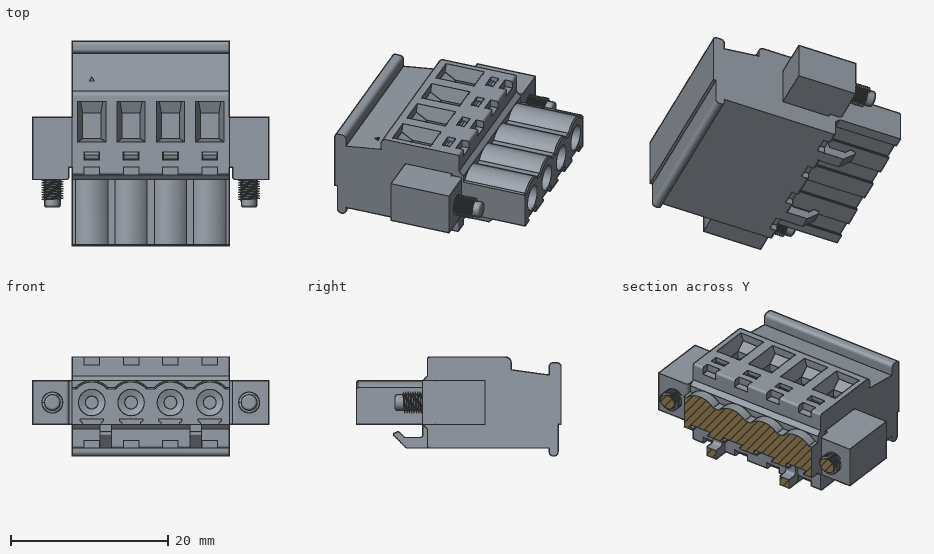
import cadquery as cq
import math


LENGTH = 30.0
POLES = 4
PITCH = LENGTH / (POLES + 2)
BODY_LENGTH = POLES * PITCH
POLE_XS = [(i - (POLES - 1) / 2) * PITCH for i in range(POLES)]
SIDES = (-1, 1)

BACK_Y = 26.0
COLLAR_Y = 8.43
COLLAR_STEP = 0.6
FRONT_Y = COLLAR_Y + COLLAR_STEP
CREST_BACK_Y = 19.68

TOP_Z = 12.6
FLOOR_Z = 1.02
PLUG_BOTTOM_Z = 4.02
PLUG_TOP_Z = 9.6
AXIS_Z = (PLUG_BOTTOM_Z + PLUG_TOP_Z) / 2

FRONT_EDGE_RADIUS = 0.3
CREST_RADIUS = 0.72
SLOPE_TOP_Z = 10.98
SLOPE_LOW_Z = 10.32

RAIL_DEPTH = 1.53
RAIL_FRONT_Y = BACK_Y - RAIL_DEPTH
RAIL_TOP_Z = 11.88
RAIL_RADIUS = 0.5
LOWER_RAIL_SETBACK = 0.35
LOWER_RAIL_RADIUS = 0.57

NOTCH_WIDTH = 1.98
NOTCH_DEPTH = 1.0
NOTCH_HEIGHT = 1.0

WELL_CENTRE_Y = 15.78
WELL_WIDTH = 3.57
WELL_LENGTH = 5.2
WELL_FLOOR_WIDTH = 2.3
WELL_TAPER_DEPTH = 1.77
WELL_BACK_WALL_DEPTH = 1.05
WELL_FRONT_INSET = 0.48
WELL_BACK_INSET = 1.5
WELL_DEPTH = 2.82

SLOT_WIDTH = 2.0
SLOT_FLOOR_WIDTH = 1.75
SLOT_FRONT_Y = 10.9
SLOT_LENGTH = 1.02
SLOT_BACK_DEPTH = 0.57
SLOT_RIDGE_DEPTH = 0.5
SLOT_FRONT_DEPTH = 0.72
SLOT_FRONT_INSET = 0.15
SLOT_RIDGE_INSET = 0.33

MARK_WIDTH = 0.57
MARK_BASE_Y = 20.97
MARK_LENGTH = 0.5
MARK_FLOOR_Z = 10.65

FLAT_Z = 8.7
LOBE_RADIUS = PLUG_TOP_Z - AXIS_Z
PLUG_BEVEL = 0.18
BORE_RADIUS = 1.68
BORE_DEPTH = 1.65
BORE_END_RADIUS = 0.8
BORE_CONE_DEPTH = 0.3

GROOVE_TOP_WIDTH = 2.97
GROOVE_MOUTH_WIDTH = 2.35
GROOVE_DEPTH = 0.7
GROOVE_LIP = 0.2

HOOK_WIDTH = 1.47
HOOK_INNER_X = PITCH
HOOK_SHELF_Z = 2.37
HOOK_SHELF_END_Y = 6.12
HOOK_HEEL_Y = 6.35
HOOK_LOW_TIP_Z = 2.82
HOOK_HIGH_TIP_Z = 3.15
HOOK_ROOT_RADIUS = 0.35
HOOK_TIP_RADIUS = 0.18

FLANGE_BACK_Y = 16.35
FLANGE_GAP = 0.4
FLANGE_GAP_END_Y = 10.0
FLANGE_RADIUS = 0.35

SCREW_X = (LENGTH - PITCH) / 2
SCREW_RADIUS = PITCH / 5
SCREW_TIP_Y = 4.92
SCREW_TIP_ROUND = 0.3
THREAD_RADIUS = 1.32
THREAD_PITCH = 0.3
THREAD_BASE = 0.18
THREAD_END_Y = 5.9
THREAD_EMBED = 0.1


def block(x, y, z):
    """Box given by its (low, high) limits along X, Y and Z."""
    return cq.Workplane("XY").box(
        x[1] - x[0], y[1] - y[0], z[1] - z[0], centered=False
    ).translate((x[0], y[0], z[0]))


def centred(middle, width):
    return (middle - width / 2, middle + width / 2)


def prism_along_x(points, middle_x, width):
    """Closed (Y, Z) outline extruded along X about middle_x."""
    outline = cq.Workplane("YZ", origin=(middle_x, 0, 0)).polyline(points).close()
    return outline.extrude(width / 2, both=True)


def make_housing():
    outline = [
        (RAIL_FRONT_Y, FLOOR_Z),
        (FRONT_Y, FLOOR_Z),
        (FRONT_Y, PLUG_BOTTOM_Z - COLLAR_STEP),
        (COLLAR_Y, PLUG_BOTTOM_Z),
        (COLLAR_Y, PLUG_TOP_Z),
        (FRONT_Y, PLUG_TOP_Z + COLLAR_STEP),
        (FRONT_Y, TOP_Z),
        (CREST_BACK_Y, TOP_Z),
        (CREST_BACK_Y, SLOPE_TOP_Z),
        (RAIL_FRONT_Y, SLOPE_LOW_Z),
    ]
    housing = prism_along_x(outline, 0, BODY_LENGTH)
    housing = housing.faces(">Z").edges("<Y").fillet(FRONT_EDGE_RADIUS)
    housing = housing.faces(">Z").edges(">Y").fillet(CREST_RADIUS)
    return housing.faces("<Z").edges("<Y").fillet(FRONT_EDGE_RADIUS)


def make_rail():
    span = centred(0, BODY_LENGTH)
    upper = block(span, (RAIL_FRONT_Y, BACK_Y), (PLUG_BOTTOM_Z, RAIL_TOP_Z))
    upper = upper.faces(">Z").edges("|X").fillet(RAIL_RADIUS)
    lower = block(span, (RAIL_FRONT_Y, BACK_Y - LOWER_RAIL_SETBACK), (0, PLUG_BOTTOM_Z))
    lower = lower.faces("<Z").edges("|X").fillet(LOWER_RAIL_RADIUS)
    return upper.union(lower)


def make_notches(x):
    span = centred(x, NOTCH_WIDTH)
    depth = (COLLAR_Y, FRONT_Y + NOTCH_DEPTH)
    upper = block(span, depth, (TOP_Z - NOTCH_HEIGHT, TOP_Z))
    lower = block(span, depth, (FLOOR_Z, FLOOR_Z + NOTCH_HEIGHT))
    return upper.union(lower)


def make_funnel(x, front_y, length, width, floor_width, taper_depth, floor_outline):
    """Pocket in the top with inclined sides; floor_outline is (Y, Z) from back to front."""
    back_y = front_y + length
    taper_z = TOP_Z - taper_depth
    across = (
        cq.Workplane("XZ", origin=(x, back_y, 0))
        .polyline([
            (-width / 2, TOP_Z),
            (width / 2, TOP_Z),
            (floor_width / 2, taper_z),
            (-floor_width / 2, taper_z),
        ])
        .close()
        .extrude(length)
    )
    along = prism_along_x([(front_y, TOP_Z), (back_y, TOP_Z)] + floor_outline, x, width)
    return across.intersect(along)


def make_well(x):
    """Funnel with a part-upright back wall, over a straight pit."""
    front_y, back_y = centred(WELL_CENTRE_Y, WELL_LENGTH)
    taper_z = TOP_Z - WELL_TAPER_DEPTH
    floor_y = (front_y + WELL_FRONT_INSET, back_y - WELL_BACK_INSET)
    floor_outline = [
        (back_y, TOP_Z - WELL_BACK_WALL_DEPTH),
        (floor_y[1], taper_z),
        (floor_y[0], taper_z),
    ]
    funnel = make_funnel(
        x, front_y, WELL_LENGTH, WELL_WIDTH, WELL_FLOOR_WIDTH, WELL_TAPER_DEPTH, floor_outline
    )
    pit = block(centred(x, WELL_FLOOR_WIDTH), floor_y, (TOP_Z - WELL_DEPTH, taper_z))
    return funnel.union(pit)


def make_test_slot(x):
    """Funnel whose floor is a low ridge running along X."""
    back_y = SLOT_FRONT_Y + SLOT_LENGTH
    floor_outline = [
        (back_y, TOP_Z - SLOT_BACK_DEPTH),
        (back_y - SLOT_RIDGE_INSET, TOP_Z - SLOT_RIDGE_DEPTH),
        (SLOT_FRONT_Y + SLOT_FRONT_INSET, TOP_Z - SLOT_FRONT_DEPTH),
    ]
    return make_funnel(
        x, SLOT_FRONT_Y, SLOT_LENGTH, SLOT_WIDTH, SLOT_FLOOR_WIDTH, SLOT_FRONT_DEPTH, floor_outline
    )


def make_pole_mark(x):
    corners = [
        (x - MARK_WIDTH / 2, MARK_BASE_Y),
        (x + MARK_WIDTH / 2, MARK_BASE_Y),
        (x, MARK_BASE_Y + MARK_LENGTH),
    ]
    outline = cq.Workplane("XY", origin=(0, 0, MARK_FLOOR_Z)).polyline(corners).close()
    return outline.extrude(TOP_Z - MARK_FLOOR_Z)


def plug_section(workplane, inset):
    """Cross-section of the plug, with its upper outline drawn in by inset."""
    flat_z = FLAT_Z - inset
    lobe_radius = LOBE_RADIUS - inset
    lobe_half_width = math.sqrt(lobe_radius**2 - (flat_z - AXIS_Z) ** 2)
    section = workplane.moveTo(-BODY_LENGTH / 2, PLUG_BOTTOM_Z)
    section = section.lineTo(-BODY_LENGTH / 2, flat_z)
    for x in POLE_XS:
        section = section.lineTo(x - lobe_half_width, flat_z)
        section = section.threePointArc((x, AXIS_Z + lobe_radius), (x + lobe_half_width, flat_z))
    section = section.lineTo(BODY_LENGTH / 2, flat_z)
    section = section.lineTo(BODY_LENGTH / 2, PLUG_BOTTOM_Z)
    return section.close()


def make_plug():
    """Lobed block whose upper front edge is bevelled at 45 degrees."""
    bevel_plane = cq.Workplane("XZ", origin=(0, PLUG_BEVEL, 0))
    main = plug_section(bevel_plane, 0).extrude(PLUG_BEVEL - COLLAR_Y)
    front_plane = plug_section(bevel_plane, 0).workplane(offset=PLUG_BEVEL)
    bevel = plug_section(front_plane, PLUG_BEVEL).loft(ruled=True)
    return main.union(bevel)


def make_bore(x):
    """Contact bore with a conical, flat-ended bottom."""
    end_depth = BORE_DEPTH + BORE_CONE_DEPTH
    half_section = [
        (0, 0),
        (BORE_RADIUS, 0),
        (BORE_RADIUS, BORE_DEPTH),
        (BORE_END_RADIUS, end_depth),
        (0, end_depth),
    ]
    profile = cq.Workplane("XY", origin=(x, 0, AXIS_Z)).polyline(half_section).close()
    return profile.revolve(360, (0, 0, 0), (0, 1, 0))


def make_groove(x):
    top_z = PLUG_BOTTOM_Z + GROOVE_DEPTH
    right = [
        (GROOVE_TOP_WIDTH / 2, top_z),
        (GROOVE_TOP_WIDTH / 2, top_z - GROOVE_LIP),
        (GROOVE_MOUTH_WIDTH / 2, PLUG_BOTTOM_Z + GROOVE_LIP),
        (GROOVE_MOUTH_WIDTH / 2, PLUG_BOTTOM_Z),
    ]
    left = [(-px, pz) for px, pz in reversed(right)]
    outline = cq.Workplane("XZ", origin=(x, 0, 0)).polyline(right + left).close()
    return outline.extrude(-COLLAR_Y)


def make_hook(side):
    """Latch arm with a tip rising forward at 45 degrees."""
    root_y = FRONT_Y + NOTCH_DEPTH
    low_tip = (HOOK_HEEL_Y - (HOOK_LOW_TIP_Z - FLOOR_Z), HOOK_LOW_TIP_Z)
    high_tip = (HOOK_SHELF_END_Y - (HOOK_HIGH_TIP_Z - HOOK_SHELF_Z), HOOK_HIGH_TIP_Z)
    outline = [
        (root_y, FLOOR_Z),
        (HOOK_HEEL_Y, FLOOR_Z),
        low_tip,
        high_tip,
        (HOOK_SHELF_END_Y, HOOK_SHELF_Z),
        (COLLAR_Y, HOOK_SHELF_Z),
        (COLLAR_Y, PLUG_BOTTOM_Z),
        (root_y, PLUG_BOTTOM_Z),
    ]
    middle_x = side * (HOOK_INNER_X + HOOK_WIDTH / 2)
    hook = prism_along_x(outline, middle_x, HOOK_WIDTH)

    def edge_at(point):
        return cq.selectors.NearestToPointSelector((middle_x, *point))

    hook = hook.edges(edge_at((COLLAR_Y, HOOK_SHELF_Z))).fillet(HOOK_ROOT_RADIUS)
    hook = hook.edges(edge_at(low_tip)).fillet(HOOK_TIP_RADIUS)
    return hook.edges(edge_at(high_tip)).fillet(HOOK_TIP_RADIUS)


def make_flange():
    """Flange on the +X side, with a gap beside the front of the housing."""
    inner_x = BODY_LENGTH / 2
    height = (PLUG_BOTTOM_Z, PLUG_TOP_Z)
    root = block((inner_x, LENGTH / 2), (FLANGE_GAP_END_Y, FLANGE_BACK_Y), height)
    nose = block((inner_x + FLANGE_GAP, LENGTH / 2), (COLLAR_Y, FLANGE_GAP_END_Y), height)
    nose = nose.edges("|Z and <X and <Y").fillet(FLANGE_RADIUS)
    return root.union(nose)


def make_screw(x):
    """Screw end with a fine helical thread, pointing towards -Y."""
    core = (
        cq.Workplane("XZ", origin=(x, FLANGE_GAP_END_Y, AXIS_Z))
        .circle(SCREW_RADIUS)
        .extrude(FLANGE_GAP_END_Y - SCREW_TIP_Y)
        .faces("<Y")
        .edges()
        .fillet(SCREW_TIP_ROUND)
    )
    length = COLLAR_Y + THREAD_PITCH - THREAD_END_Y
    root_radius = SCREW_RADIUS - THREAD_EMBED
    path = cq.Wire.makeHelix(THREAD_PITCH, length, root_radius)
    tooth = cq.Workplane("XZ").polyline([
        (root_radius, -THREAD_BASE / 2),
        (THREAD_RADIUS, 0),
        (root_radius, THREAD_BASE / 2),
    ]).close()
    thread = tooth.sweep(cq.Workplane(obj=path), isFrenet=True)
    thread = thread.rotate((0, 0, 0), (0, 1, 1), 180).translate((x, THREAD_END_Y, AXIS_Z))
    return core.union(thread)


result = make_housing().union(make_rail()).union(make_plug())

for pole_x in POLE_XS:
    result = result.cut(make_notches(pole_x))
    result = result.cut(make_well(pole_x))
    result = result.cut(make_test_slot(pole_x))
    result = result.cut(make_bore(pole_x))
    result = result.cut(make_groove(pole_x))

result = result.cut(make_pole_mark(POLE_XS[0]))

flange = make_flange()
result = result.union(flange).union(flange.mirror("YZ"))

for side in SIDES:
    result = result.union(make_hook(side))
    result = result.union(make_screw(side * SCREW_X))